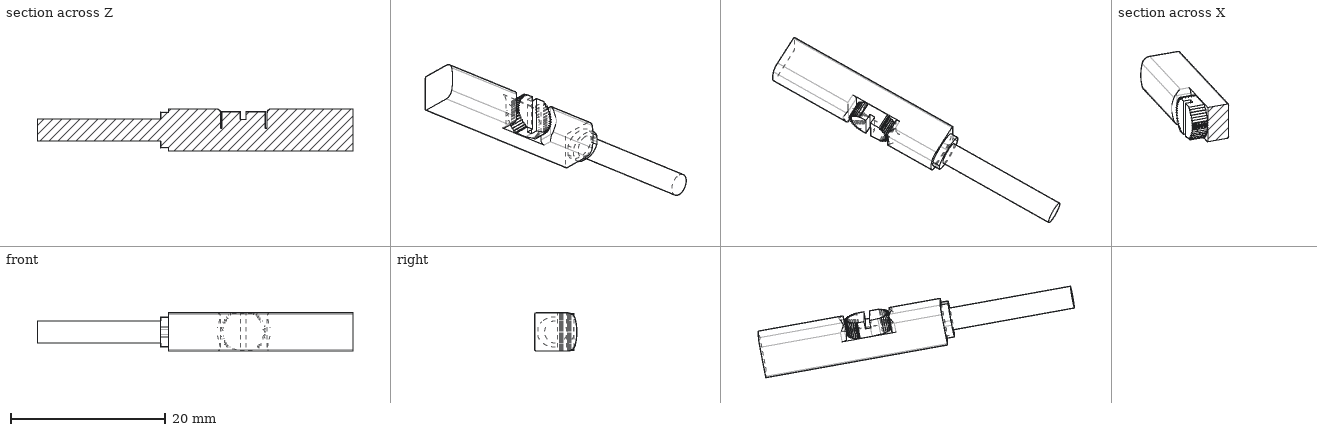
import cadquery as cq
import math

cable_length = 16.0
cable_diameter = 2.9

collar_length = 1.0
collar_half_height = 1.93
collar_half_width = 2.33
collar_top_flat_half = 0.31
collar_side_flat_half = 0.3
collar_shoulder_z = 0.67
collar_shoulder_y = 2.29

body_length = 24.0
body_width = 5.5
body_height = 5.0
crown_radius = 7.0
crown_corner_radius = 1.1
back_corner_radius = 0.25
body_start = cable_length + collar_length
half_width = body_width / 2
half_height = body_height / 2

pocket_center_x = body_start + 9.8
pocket_half_length = 3.0
pocket_depth = 2.5
pocket_mouth_radius = 0.55
pocket_floor_y = half_width - pocket_depth

screw_center_x = body_start + 9.72
screw_tip_radius = 2.9
screw_root_radius = 2.62
screw_half_height = 2.4
screw_recess = 0.37
knurl_pitch = 7.5
right_tooth_count = 18
left_tooth_count = 15
slot_width = 0.72
slot_depth = 1.0
screw_top_y = half_width - screw_recess


def make_cable():
    return cq.Workplane("YZ").circle(cable_diameter / 2).extrude(cable_length)


def make_collar():
    """Flattened round collar; one quarter of the outline is drawn and mirrored."""
    dy = collar_shoulder_y - collar_top_flat_half
    dz = collar_half_height - collar_shoulder_z
    arc_radius = (dy**2 + dz**2) / (2 * dz)
    half_angle = math.atan2(dz, dy)
    arc_mid = (
        collar_top_flat_half + arc_radius * math.sin(half_angle),
        collar_half_height - arc_radius * (1 - math.cos(half_angle)),
    )
    quarter = (
        cq.Workplane("YZ", origin=(cable_length, 0, 0))
        .moveTo(0, 0)
        .lineTo(0, collar_half_height)
        .lineTo(collar_top_flat_half, collar_half_height)
        .threePointArc(arc_mid, (collar_shoulder_y, collar_shoulder_z))
        .lineTo(collar_half_width, collar_side_flat_half)
        .lineTo(collar_half_width, 0)
        .close()
        .extrude(collar_length)
    )
    half = quarter.union(quarter.mirror("XY"))
    return half.union(half.mirror("XZ"))


def make_body():
    """Square bar with a crowned +Y face and blended corners."""
    crown_center_y = half_width - crown_radius
    crown_edge_y = crown_center_y + math.sqrt(crown_radius**2 - half_height**2)
    return (
        cq.Workplane("YZ", origin=(body_start, 0, 0))
        .moveTo(-half_width, -half_height)
        .lineTo(crown_edge_y, -half_height)
        .threePointArc((half_width, 0), (crown_edge_y, half_height))
        .lineTo(-half_width, half_height)
        .close()
        .extrude(body_length)
        .edges("|X").edges(">Y")
        .fillet(crown_corner_radius)
        .edges("|X").edges("<Y")
        .fillet(back_corner_radius)
    )


def mouth_cutter(plane, mouth_level, floor_level):
    """Half profile of the pocket whose end walls flare out in a quarter round at mouth_level."""
    r = pocket_mouth_radius
    wide = pocket_half_length + r
    return (
        plane.moveTo(-pocket_half_length, floor_level)
        .lineTo(pocket_half_length, floor_level)
        .lineTo(pocket_half_length, mouth_level - r)
        .radiusArc((wide, mouth_level), r)
        .lineTo(-wide, mouth_level)
        .radiusArc((-pocket_half_length, mouth_level - r), r)
        .close()
    )


def make_pocket():
    """Pocket with end walls rounded towards the +Z, -Z and +Y faces."""
    z_plane = cq.Workplane("XZ", origin=(pocket_center_x, half_width, 0))
    upper = mouth_cutter(z_plane, half_height, 0).extrude(pocket_depth)
    y_plane = cq.Workplane("XY", origin=(pocket_center_x, 0, -half_height))
    through = mouth_cutter(y_plane, half_width, pocket_floor_y).extrude(body_height)
    return upper.union(upper.mirror("XY")).union(through)


def knurl_points(facing, tooth_count):
    """Sawtooth outline centred on the angle facing: each tooth falls from tip to root as the angle rises."""
    start = facing - tooth_count * knurl_pitch / 2
    points = []
    for tooth in range(tooth_count):
        tip_angle = math.radians(start + tooth * knurl_pitch)
        root_angle = tip_angle + math.radians(knurl_pitch)
        points.append((screw_tip_radius * math.cos(tip_angle), screw_tip_radius * math.sin(tip_angle)))
        points.append((screw_root_radius * math.cos(root_angle), screw_root_radius * math.sin(root_angle)))
    return points


def make_screw():
    """Knurled screw, flattened on top and bottom, with a driver slot along Z."""
    head_length = screw_top_y - pocket_floor_y
    outline = knurl_points(0, right_tooth_count) + knurl_points(180, left_tooth_count)
    knurled = (
        cq.Workplane("XZ", origin=(screw_center_x, screw_top_y, 0))
        .polyline(outline)
        .close()
        .extrude(head_length)
    )
    center_y = (screw_top_y + pocket_floor_y) / 2
    flats = cq.Workplane("XY", origin=(screw_center_x, center_y, 0)).box(
        2 * screw_tip_radius, head_length, 2 * screw_half_height
    )
    slot = cq.Workplane("XY", origin=(screw_center_x, screw_top_y - slot_depth / 2, 0)).box(
        slot_width, slot_depth, body_height
    )
    return knurled.intersect(flats).cut(slot)


body = make_body().cut(make_pocket())
result = body.union(make_screw()).union(make_collar()).union(make_cable())